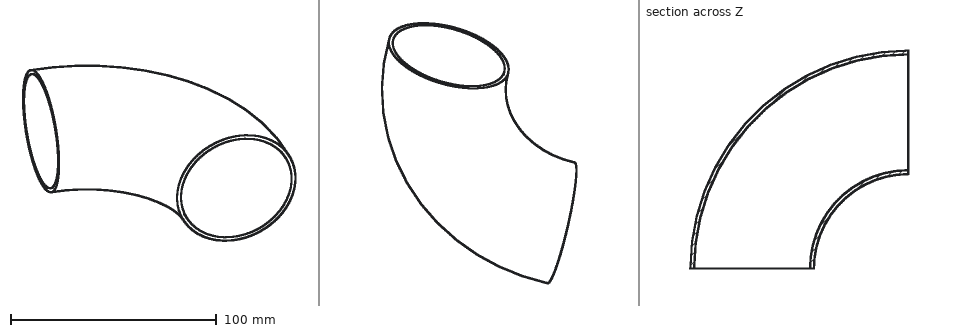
import cadquery as cq

outer_reach = 106.2
outer_diameter = 60.3
wall = 2.0
bend_angle = 90.0

outer_radius = outer_diameter / 2
inner_radius = outer_radius - wall
bend_radius = outer_reach - outer_radius


def make_elbow():
    """Sweep the pipe's ring section about the Z axis, from the -Y end to the +X end."""
    return (
        cq.Workplane("XZ")
        .center(-bend_radius, 0)
        .circle(outer_radius)
        .circle(inner_radius)
        .revolve(bend_angle, (bend_radius, 0), (bend_radius, -1))
    )


result = make_elbow()